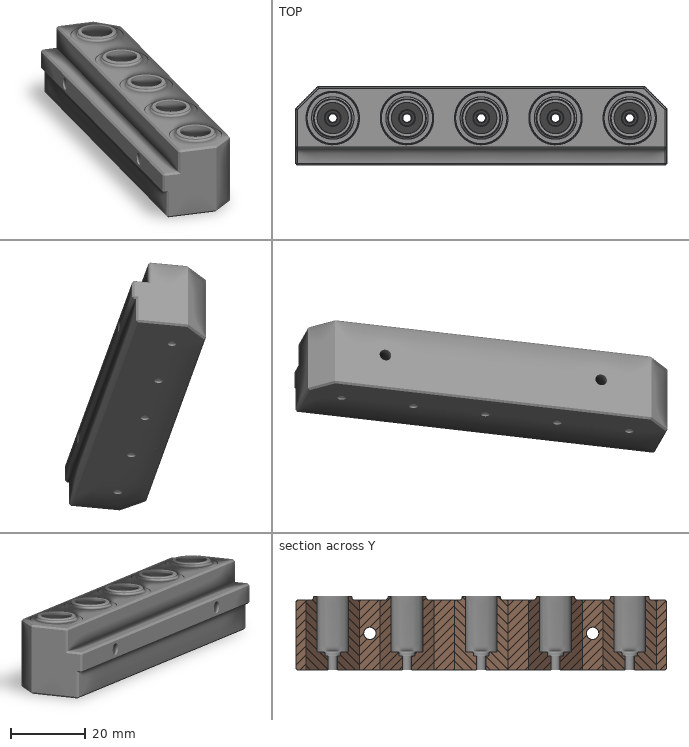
import cadquery as cq

length = 100.0
depth = 21.2
block_height = 19.0
corner_cut = 6.0
edge_bevel = 0.5

upper_face_y = 4.4
lower_face_y = 1.1
lip_bottom = 7.2
lip_top = 12.8

cross_hole_diameter = 3.2
cross_hole_inset = 20.0
cross_hole_z = 10.0

socket_count = 5
socket_pitch = length / socket_count
socket_y = 12.7
socket_diameter = 14.4
rim_bevel = 0.3
collar_diameter = 10.4
collar_top = 20.0
collar_bevel = 0.2
collar_foot = 0.5
bore_diameter = 8.4
bore_floor = 5.0
seat_diameter = 4.1
seat_depth = 1.0
pin_hole_diameter = 2.3
hole_bevel = 0.2
socket_xs = [socket_pitch * (i + 0.5) for i in range(socket_count)]


def make_block():
    """Stepped block with cut back corners, cross holes and a row of socket holes."""
    profile = [
        (lower_face_y, 0),
        (lower_face_y, lip_bottom),
        (0, lip_bottom),
        (0, lip_top),
        (upper_face_y, lip_top),
        (upper_face_y, block_height),
        (depth, block_height),
        (depth, 0),
    ]
    block = cq.Workplane("YZ").polyline(profile).close().extrude(length)
    block = block.edges("|Z and >Y").chamfer(corner_cut)
    outline = block.faces("<X or >X or >Z or <Z or <Y").edges()
    sharp_edges = block.faces("<X or >X").edges("|Z and >Y").vals()
    bevel_edges = [edge for edge in outline.vals() if not any(edge.isSame(sharp) for sharp in sharp_edges)]
    block = block.newObject(bevel_edges).chamfer(edge_bevel)
    cross_holes = (
        cq.Workplane("XZ")
        .pushPoints([(x, cross_hole_z) for x in (cross_hole_inset, length - cross_hole_inset)])
        .circle(cross_hole_diameter / 2)
        .extrude(-depth)
    )
    socket_holes = (
        cq.Workplane("XY")
        .pushPoints([(x, socket_y) for x in socket_xs])
        .circle(socket_diameter / 2)
        .extrude(block_height)
    )
    return block.cut(cross_holes).cut(socket_holes)


def make_socket(x):
    """Turned socket: a body flush with the block, a raised flared collar and a stepped bore."""
    outer = socket_diameter / 2
    collar = collar_diameter / 2
    bore = bore_diameter / 2
    seat = seat_diameter / 2
    hole = pin_hole_diameter / 2
    seat_floor = bore_floor - seat_depth
    half_section = [
        (hole, 0),
        (outer, 0),
        (outer, block_height - rim_bevel),
        (outer - rim_bevel, block_height),
        (collar + collar_foot, block_height),
        (collar, block_height + collar_foot),
        (collar, collar_top - collar_bevel),
        (collar - collar_bevel, collar_top),
        (bore, collar_top),
        (bore, bore_floor),
        (seat + hole_bevel, bore_floor),
        (seat, bore_floor - hole_bevel),
        (seat, seat_floor),
        (hole + hole_bevel, seat_floor),
        (hole, seat_floor - hole_bevel),
    ]
    socket = cq.Workplane("XZ").polyline(half_section).close().revolve(360, (0, 0), (0, 1))
    return socket.translate((x, socket_y, 0))


block = make_block()
sockets = [make_socket(x) for x in socket_xs]

result = cq.Compound.makeCompound([block.val(), *[socket.val() for socket in sockets]])